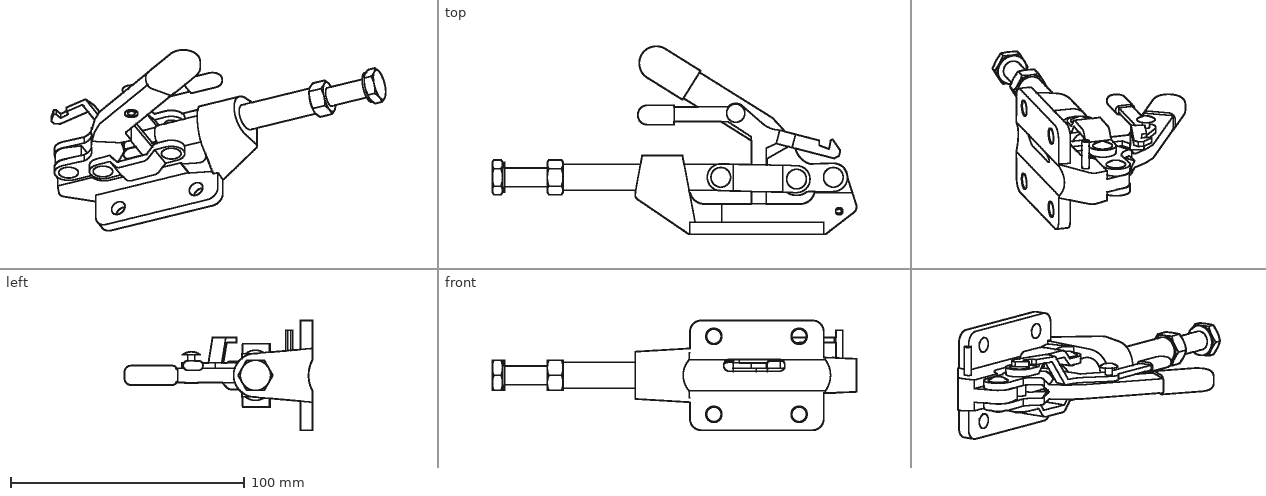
import cadquery as cq
import math

OVERALL_LENGTH = 156.2
REACH = 93.7

AXIS_Y = 24.5
PLUNGER_PIVOT = (98.0, AXIS_Y)
LINK_PIVOT = (130.5, 23.7)
BASE_PIVOT = (146.2, AXIS_Y)
LATCH_PIVOT = (104.3, 52.0)

RIVET_RADIUS = 2.8
DOME_RADIUS = 4.2
DOME_HEIGHT = 1.5

FLANGE_LEFT = 84.7
FLANGE_LENGTH = 57.5
FLANGE_WIDTH = 47.2
FLANGE_THICKNESS = 5.3
FLANGE_CORNER = 5.0
HOLE_DIAMETER = 6.2
HOLE_CHAMFER = 0.3
HOLE_CHAMFER_ANGLE = 90
HOLE_CENTER_X = 113.3
HOLE_PITCH_X = 36.5
HOLE_PITCH_Z = 33.5
GROOVE_HALF_WIDTH = 6.7
GROOVE_DEPTH = 1.7
BOSS_RADIUS = 9.4
BOSS_FOOT_HALF_WIDTH = 11.5
BOSS_NOSE = (61.0, 16.0)
BOSS_NOSE_RADIUS = 2.5
BOSS_TOP_LEFT_X = 64.2
BOSS_TOP_RIGHT_X = 81.5
BOSS_FOOT_LEFT_X = 84.4
BOSS_FOOT_RADIUS = 1.0
BOSS_FOOT_RIGHT_X = 88.0
RAIL_HEIGHT = 13.1
RAIL_FOOT_HALF_WIDTH = 7.7
RAIL_DRAFT = 0.05
RAIL_FILLET = 6.2
FLARE_HALF_WIDTH = 9.7
FLARE_END_X = 98.4
WINDOW_LEFT_X = 84.7
WINDOW_RIGHT_X = 138.2
STEP_Y = 17.8
LUG_RADIUS = 5.8
FOOT_RIGHT_X = 142.8
HEEL_RADIUS = 3.1
HEEL_Y = 11.9
LATCH_SLOT_LEFT = 99.2
LATCH_SLOT_RIGHT = 125.5
LATCH_SLOT_WIDTH = 5.0
STOP_PIN = (148.7, 10.0)
STOP_PIN_RADIUS = 1.5
STOP_PIN_BORE_RADIUS = 1.0
STOP_PIN_SLIT = 1.2
STOP_PIN_TOP = 19.4

PLUNGER_RADIUS = 5.6
PLUNGER_RIGHT_X = 103.3
HEX_FLATS = 13.0
HEX_CHAMFER = 0.6
HEAD_LENGTH = 4.4
HEAD_COLLAR_END_X = 5.3
SHANK_RADIUS = 4.0
NUT_LEFT_X = 23.6
NUT_RIGHT_X = 30.3

PLATE = 3.1
FORK_HALF_GAP = 3.0
FORK_OUTER = FORK_HALF_GAP + PLATE
FOLD_POINT = (122.2, 35.0)
FOLD_ANGLE = 29.5
FOLD_RUN = 3.1
FOLD_BEND_RADIUS = 2.8
ARM_ANGLE = -32.0
ARM_HALF_WIDTH = 6.5
GRIP_CENTER = (70.3, 73.4)
GRIP_RADIUS = 7.3
GRIP_LENGTH = 17.8
GRIP_THICKNESS = 8.5
GRIP_FILLET = 3.0
KNEE_TOP = 54.7
SHOULDER = (124.8, 45.0)
NECK_TOP = (130.0, 37.0)
NECK_MIDDLE = (132.3, 32.6)
NECK_FOOT = (136.2, 30.3)
THROAT_X = 113.1
THROAT_BOTTOM_Y = 32.5
THROAT_RADIUS = 1.9
FORK_LEFT = (117.8, 29.7)
FORK_END_RADIUS = 6.1
FORK_HALF_WIDTH = 5.5
LINK_EYE_RADIUS = 7.0

LINK_PLATE = 3.1
LINK_END_RADIUS = 5.8
LINK_INNER = FORK_OUTER
LINK_OUTER = LINK_INNER + LINK_PLATE
LINK_BULGE = 4.4
LINK_BEND_RADIUS = 3.1
LINK_RISE = (103.3, 107.2)
LINK_FALL = (121.0, 124.5)

LATCH_PLATE = 2.2
LATCH_BOTTOM = PLATE
LATCH_TOP = LATCH_BOTTOM + LATCH_PLATE
LATCH_MID = (LATCH_BOTTOM + LATCH_TOP) / 2
LEVER_Y = 51.5
LEVER_HALF_WIDTH = 3.1
LATCH_EYE_RADIUS = 4.2
LEVER_GRIP_Y = 51.2
LEVER_GRIP_LEFT = 62.3
LEVER_GRIP_RIGHT = 78.0
LEVER_GRIP_RADIUS = 4.2
LEVER_GRIP_THICKNESS = 4.0
LEVER_GRIP_FILLET = 1.9
TAIL_LEFT = 111.0
TAIL_RIGHT = 117.5
TAIL_BOTTOM_Y = 4.7
TAIL_CORNER = 1.9
LEVER_BEND_X = 100.9
LEVER_HEEL_X = 102.3
TAIL_TOP_LEFT_Y = 41.9
TAIL_TOP_RIGHT_Y = 37.0
BACK_START = (115.6, 47.8)
BACK_MIDDLE = (119.0, 45.6)
BACK_ANGLE = 50
HOOK_ROOT = (122.5, 41.9)
HOOK_ANGLE = -14.5
HOOK_HALF_WIDTH = 3.0
HOOK_OPENING = [
    (25.6, -HOOK_HALF_WIDTH), (27.5, -1.2), (27.3, 1.1), (23.0, 4.8), (22.2, 4.2),
    (22.5, 0.5), (18.1, 1.0), (17.5, HOOK_HALF_WIDTH),
]
HOOK_RAMP_RUN = 7.0
HOOK_RAMP_UNDERSIDE = 1.7
HOOK_RISE = 11.0
KNOB_RADIUS = 3.9
KNOB_HEIGHT = 1.4
KNOB_BOTTOM = 8.7
KNOB_STEM_RADIUS = 1.5
LATCH_RIVET_HEAD_RADIUS = 2.8
LATCH_RIVET_HEAD = 0.3


def polar(angle):
    """Unit vector at an angle in degrees."""
    return math.cos(math.radians(angle)), math.sin(math.radians(angle))


def frame_point(origin, angle, along, across):
    """XY point given by distances along and across a direction through an origin."""
    c, s = polar(angle)
    return origin[0] + along * c - across * s, origin[1] + along * s + across * c


def hull_plate(rounds, z_low, z_high):
    """Plate around circles (center, radius) listed counterclockwise; zero radius is a sharp corner."""
    sides = []
    for (start, r_start), (end, r_end) in zip(rounds, rounds[1:] + rounds[:1]):
        dx, dy = end[0] - start[0], end[1] - start[1]
        normal = math.atan2(dy, dx) - math.acos((r_start - r_end) / math.hypot(dx, dy))
        sides.append((start, r_start, end, r_end, normal))

    def rim(center, radius, angle):
        return center[0] + radius * math.cos(angle), center[1] + radius * math.sin(angle)

    start, r_start, _, _, normal = sides[0]
    outline = cq.Workplane("XY", origin=(0, 0, z_low)).moveTo(*rim(start, r_start, normal))
    for index, (_, _, end, r_end, normal) in enumerate(sides):
        next_normal = sides[(index + 1) % len(sides)][4]
        sweep = (next_normal - normal) % (2 * math.pi)
        outline = outline.lineTo(*rim(end, r_end, normal))
        if r_end > 0:
            outline = outline.threePointArc(
                rim(end, r_end, normal + sweep / 2), rim(end, r_end, next_normal))
    return outline.close().extrude(z_high - z_low)


def cylinder(center, radius, z_low, z_high):
    return cq.Workplane("XY", origin=(*center, z_low)).circle(radius).extrude(z_high - z_low)


def block(x_range, y_range, z_range):
    lows, highs = zip(x_range, y_range, z_range)
    size = [high - low for low, high in zip(lows, highs)]
    return cq.Workplane("XY").box(*size, centered=False).translate(lows)


def dome(center, radius, height, z):
    """Spherical cap standing on height z."""
    x, y = center
    cap = (
        cq.Workplane("XZ")
        .lineTo(radius, 0)
        .threePointArc(cap_middle(radius, height), (0, height))
        .close()
        .revolve(360, (0, 0), (0, 1))
    )
    return cap.translate((x, y, z))


def cap_middle(radius, height):
    """Point halfway along the profile arc of a spherical cap."""
    sphere = (radius ** 2 + height ** 2) / (2 * height)
    half_angle = math.asin(radius / sphere) / 2
    return sphere * math.sin(half_angle), height - sphere * (1 - math.cos(half_angle))


def rivet(center, face):
    """Rivet across the clamp with a domed head on each outer face at +-face."""
    head = dome(center, DOME_RADIUS, DOME_HEIGHT, face)
    return cylinder(center, RIVET_RADIUS, -face, face).union(head).union(head.mirror("XY"))


def boss_section():
    """Cross-section of the boss: round top with flanks spreading to the foot, along all of X."""
    reach = math.hypot(BOSS_FOOT_HALF_WIDTH, AXIS_Y)
    flank = math.atan2(-AXIS_Y, BOSS_FOOT_HALF_WIDTH) + math.acos(BOSS_RADIUS / reach)
    z = BOSS_RADIUS * math.cos(flank)
    y = AXIS_Y + BOSS_RADIUS * math.sin(flank)
    return (
        cq.Workplane("YZ")
        .moveTo(0, -BOSS_FOOT_HALF_WIDTH)
        .lineTo(y, -z)
        .threePointArc((AXIS_Y + BOSS_RADIUS, 0), (y, z))
        .lineTo(0, BOSS_FOOT_HALF_WIDTH)
        .close()
        .extrude(OVERALL_LENGTH)
    )


def boss():
    top = AXIS_Y + BOSS_RADIUS
    side = (
        cq.Workplane("XY", origin=(0, 0, -REACH))
        .polyline([
            (BOSS_TOP_LEFT_X, top), BOSS_NOSE, (BOSS_FOOT_LEFT_X, 0),
            (BOSS_FOOT_RIGHT_X, 0), (BOSS_TOP_RIGHT_X, top),
        ])
        .close()
        .extrude(2 * REACH)
        .edges(cq.selectors.NearestToPointSelector((*BOSS_NOSE, 0)))
        .fillet(BOSS_NOSE_RADIUS)
        .edges(cq.selectors.NearestToPointSelector((BOSS_FOOT_LEFT_X, 0, 0)))
        .fillet(BOSS_FOOT_RADIUS)
    )
    return side.intersect(boss_section())


def rail():
    """Long rail ending in a wedge, with the thin pivot lug standing on the wedge."""
    heel = (OVERALL_LENGTH - HEEL_RADIUS, HEEL_Y)
    rail_left = BOSS_FOOT_LEFT_X
    side = hull_plate(
        [((rail_left, 0), 0), ((FOOT_RIGHT_X, 0), 0), (heel, HEEL_RADIUS),
         (BASE_PIVOT, LUG_RADIUS), ((rail_left, STEP_Y), 0)], -REACH, REACH)
    window = (
        block((WINDOW_LEFT_X, WINDOW_RIGHT_X), (RAIL_HEIGHT, REACH), (-REACH, REACH))
        .edges("|Z and <Y")
        .fillet(RAIL_FILLET)
    )
    tip = RAIL_FOOT_HALF_WIDTH - RAIL_DRAFT * STEP_Y
    foot = RAIL_FOOT_HALF_WIDTH
    wide = (
        cq.Workplane("YZ")
        .polyline([(0, -foot), (STEP_Y, -tip), (STEP_Y, tip), (0, foot)])
        .close()
        .extrude(2 * REACH)
    )
    thin = block((0, 2 * REACH), (0, REACH), (-FORK_HALF_GAP, FORK_HALF_GAP))
    return side.cut(window).intersect(wide.union(thin).union(flare()))


def flare():
    """Foot that blends the width of the boss into the rail."""
    wide, narrow = FLARE_HALF_WIDTH, RAIL_FOOT_HALF_WIDTH
    return (
        cq.Workplane("XZ")
        .polyline([
            (BOSS_FOOT_LEFT_X, -wide), (BOSS_FOOT_RIGHT_X, -wide), (FLARE_END_X, -narrow),
            (FLARE_END_X, narrow), (BOSS_FOOT_RIGHT_X, wide), (BOSS_FOOT_LEFT_X, wide),
        ])
        .close()
        .extrude(-STEP_Y)
    )


def flange():
    right = FLANGE_LEFT + FLANGE_LENGTH
    half = FLANGE_WIDTH / 2
    plate = block((FLANGE_LEFT, right), (0, FLANGE_THICKNESS), (-half, half))
    return (
        plate.edges("|Y")
        .fillet(FLANGE_CORNER)
        .faces("<Y")
        .workplane(origin=(HOLE_CENTER_X, 0, 0))
        .rarray(HOLE_PITCH_X, HOLE_PITCH_Z, 2, 2)
        .cskHole(HOLE_DIAMETER, HOLE_DIAMETER + 2 * HOLE_CHAMFER, HOLE_CHAMFER_ANGLE)
    )


def groove():
    """Hollow running along the mounting face."""
    radius = (GROOVE_HALF_WIDTH ** 2 + GROOVE_DEPTH ** 2) / (2 * GROOVE_DEPTH)
    return (
        cq.Workplane("YZ", origin=(0, GROOVE_DEPTH - radius, 0))
        .circle(radius)
        .extrude(OVERALL_LENGTH)
    )


def latch_slot():
    middle = (LATCH_SLOT_LEFT + LATCH_SLOT_RIGHT) / 2
    return (
        cq.Workplane("XZ", origin=(middle, 0, LATCH_MID))
        .slot2D(LATCH_SLOT_RIGHT - LATCH_SLOT_LEFT, LATCH_SLOT_WIDTH)
        .extrude(-RAIL_HEIGHT)
    )


def stop_pin():
    """Slit spring pin standing on the flank of the rail end."""
    x, y = STOP_PIN
    slit = block(
        (x - STOP_PIN_RADIUS, x), (y - STOP_PIN_SLIT / 2, y + STOP_PIN_SLIT / 2),
        (RAIL_FOOT_HALF_WIDTH, STOP_PIN_TOP))
    bore = cylinder(STOP_PIN, STOP_PIN_BORE_RADIUS, RAIL_FOOT_HALF_WIDTH, STOP_PIN_TOP)
    return cylinder(STOP_PIN, STOP_PIN_RADIUS, 0, STOP_PIN_TOP).cut(bore).cut(slit)


def make_base():
    bore = cq.Workplane("YZ", origin=(0, AXIS_Y, 0)).circle(PLUNGER_RADIUS).extrude(FLARE_END_X)
    body = boss().union(rail()).union(flange())
    body = body.cut(groove()).cut(latch_slot()).cut(bore)
    return body.union(rivet(BASE_PIVOT, FORK_OUTER)).union(stop_pin())


def x_rod(radius, x_left, x_right):
    return cq.Workplane("YZ", origin=(x_left, AXIS_Y, 0)).circle(radius).extrude(x_right - x_left)


def make_plunger():
    rod = x_rod(PLUNGER_RADIUS, NUT_RIGHT_X, PLUNGER_RIGHT_X)
    return rod.cut(cylinder(PLUNGER_PIVOT, RIVET_RADIUS, -PLUNGER_RADIUS, PLUNGER_RADIUS))


def hexagon(x_left, x_right):
    """Hexagon bar along X with both ends turned to a shallow cone."""
    corners = HEX_FLATS / math.cos(math.pi / 6)
    length = x_right - x_left
    bar = cq.Workplane("YZ", origin=(x_left, AXIS_Y, 0)).polygon(6, corners).extrude(length)
    turned = (
        x_rod(corners / 2, x_left, x_right)
        .faces("<X or >X")
        .chamfer(HEX_CHAMFER, (corners - HEX_FLATS) / 2)
    )
    return bar.intersect(turned)


def make_spindle():
    shank = x_rod(SHANK_RADIUS, 0, NUT_RIGHT_X)
    collar = x_rod(HEX_FLATS / 2, 0, HEAD_COLLAR_END_X)
    return shank.union(collar).union(hexagon(0, HEAD_LENGTH)).union(hexagon(NUT_LEFT_X, NUT_RIGHT_X))


def fork_blank():
    """Pair of plates that spread apart across the fold line, larger than the handle outline."""
    fold_x, fold_y = polar(FOLD_ANGLE)
    section = cq.Plane(
        origin=(*FOLD_POINT, 0), xDir=(fold_y, -fold_x, 0), normal=(-fold_x, -fold_y, 0))
    half = (
        cq.Workplane(section)
        .polyline([
            (-REACH, 0), (0, 0), (FOLD_RUN, FORK_HALF_GAP), (REACH, FORK_HALF_GAP),
            (REACH, FORK_OUTER), (FOLD_RUN, FORK_OUTER), (0, PLATE), (-REACH, PLATE),
        ])
        .close()
        .extrude(REACH, both=True)
    )
    bend = frame_point(FOLD_POINT, FOLD_ANGLE, 0, -FOLD_RUN)
    half = half.edges(cq.selectors.NearestToPointSelector((*bend, FORK_OUTER))).fillet(FOLD_BEND_RADIUS)
    return half.union(half.mirror("XY"))


def arm_point(along, across):
    return frame_point(GRIP_CENTER, ARM_ANGLE, along, across)


def arm_edge_at_x(x):
    """Point of the lower arm edge at a given X."""
    c, s = polar(ARM_ANGLE)
    return x, GRIP_CENTER[1] + ((x - GRIP_CENTER[0]) * s - ARM_HALF_WIDTH) / c


def handle_outline():
    throat = arm_edge_at_x(THROAT_X)
    lever = (
        cq.Workplane("XY", origin=(0, 0, -REACH))
        .moveTo(*arm_point(0, -ARM_HALF_WIDTH))
        .lineTo(*throat)
        .lineTo(THROAT_X, THROAT_BOTTOM_Y)
        .lineTo(FORK_LEFT[0], THROAT_BOTTOM_Y)
        .lineTo(*FORK_LEFT)
        .lineTo(*LINK_PIVOT)
        .lineTo(NECK_FOOT[0], LINK_PIVOT[1])
        .lineTo(*NECK_FOOT)
        .threePointArc(NECK_MIDDLE, NECK_TOP)
        .lineTo(*SHOULDER)
        .lineTo(*arm_point(KNEE_TOP, ARM_HALF_WIDTH))
        .lineTo(*arm_point(0, ARM_HALF_WIDTH))
        .close()
        .extrude(2 * REACH)
        .edges(cq.selectors.NearestToPointSelector((*throat, 0)))
        .fillet(THROAT_RADIUS)
    )
    fork = hull_plate(
        [(LINK_PIVOT, FORK_HALF_WIDTH), (BASE_PIVOT, FORK_END_RADIUS), (FORK_LEFT, 0)], -REACH, REACH)
    return lever.union(fork).union(cylinder(LINK_PIVOT, LINK_EYE_RADIUS, -REACH, REACH))


def grip():
    """Rounded sleeve on the end of the arm."""
    open_end = cq.Vector(*arm_point(GRIP_LENGTH, 0))
    square = arm_point(GRIP_LENGTH, -GRIP_RADIUS), arm_point(GRIP_LENGTH, GRIP_RADIUS)
    half = GRIP_THICKNESS / 2
    sleeve = hull_plate([(GRIP_CENTER, GRIP_RADIUS), (square[0], 0), (square[1], 0)], -half, half)
    return (
        sleeve.faces("<Z or >Z").edges()
        .filter(lambda edge: (edge.Center() - open_end).Length > GRIP_RADIUS)
        .fillet(GRIP_FILLET)
    )


def make_handle():
    handle = fork_blank().intersect(handle_outline()).union(grip())
    for center in (LINK_PIVOT, BASE_PIVOT):
        handle = handle.cut(cylinder(center, RIVET_RADIUS, -FORK_OUTER, FORK_OUTER))
    return handle.cut(cylinder(LATCH_PIVOT, KNOB_STEM_RADIUS, -PLATE, PLATE))


def link_strap():
    """Upper strap, bulging outward between its two flat ends."""
    rise_start, rise_end = LINK_RISE
    fall_start, fall_end = LINK_FALL
    lower = [(0, 0), (rise_start, 0), (rise_end, LINK_BULGE), (fall_start, LINK_BULGE),
             (fall_end, 0), (OVERALL_LENGTH, 0)]
    upper = [(x, z + LINK_PLATE) for x, z in reversed(lower)]
    plan = hull_plate(
        [(PLUNGER_PIVOT, LINK_END_RADIUS), (LINK_PIVOT, LINK_END_RADIUS)], 0, REACH)
    strip = (
        cq.Workplane("XZ", origin=(0, 0, LINK_INNER))
        .polyline(lower + upper)
        .close()
        .extrude(REACH, both=True)
    )
    bulge_top = LINK_INNER + LINK_BULGE + LINK_PLATE
    for x in (rise_end, fall_start):
        bend = cq.selectors.NearestToPointSelector((x, 0, bulge_top))
        strip = strip.edges(bend).fillet(LINK_BEND_RADIUS)
    return strip.intersect(plan)


def make_link():
    strap = link_strap()
    link = rivet(PLUNGER_PIVOT, LINK_OUTER).union(rivet(LINK_PIVOT, LINK_OUTER))
    return link.union(strap).union(strap.mirror("XY"))


def latch_plate():
    """Flat plate with the lever to the left and the locking tail pointing into the base."""
    lever_left = (LEVER_GRIP_LEFT + LEVER_GRIP_RIGHT) / 2
    root_low = frame_point(HOOK_ROOT, HOOK_ANGLE, 0, -HOOK_HALF_WIDTH)
    root_high = frame_point(HOOK_ROOT, HOOK_ANGLE, 0, HOOK_HALF_WIDTH)
    plate = (
        cq.Workplane("XY", origin=(0, 0, LATCH_BOTTOM))
        .moveTo(lever_left, LEVER_Y - LEVER_HALF_WIDTH)
        .lineTo(LEVER_BEND_X, LEVER_Y - LEVER_HALF_WIDTH)
        .lineTo(TAIL_LEFT, TAIL_TOP_LEFT_Y)
        .lineTo(TAIL_LEFT, TAIL_BOTTOM_Y)
        .lineTo(TAIL_RIGHT, TAIL_BOTTOM_Y)
        .lineTo(TAIL_RIGHT, TAIL_TOP_RIGHT_Y)
        .lineTo(*root_low)
        .lineTo(*root_high)
        .threePointArc(BACK_MIDDLE, BACK_START)
        .lineTo(*frame_point(LATCH_PIVOT, BACK_ANGLE, LATCH_EYE_RADIUS, 0))
        .lineTo(LEVER_HEEL_X, LEVER_Y + LEVER_HALF_WIDTH)
        .lineTo(lever_left, LEVER_Y + LEVER_HALF_WIDTH)
        .close()
        .extrude(LATCH_PLATE)
    )
    corner = cq.selectors.NearestToPointSelector((TAIL_LEFT, TAIL_BOTTOM_Y, LATCH_MID))
    return plate.edges(corner).fillet(TAIL_CORNER).union(
        cylinder(LATCH_PIVOT, LATCH_EYE_RADIUS, LATCH_BOTTOM, LATCH_TOP))


def hook():
    """Arm that climbs from the plate and ends in an open hook."""
    along = polar(HOOK_ANGLE)
    flat = cq.Plane(origin=(*HOOK_ROOT, 0), xDir=(*along, 0), normal=(0, 0, 1))
    half = HOOK_HALF_WIDTH
    outline = (
        cq.Workplane(flat)
        .polyline([(0, -half), *HOOK_OPENING, (0, half)])
        .close()
        .extrude(REACH)
    )
    side = cq.Plane(
        origin=(*HOOK_ROOT, LATCH_BOTTOM), xDir=(*along, 0), normal=(along[1], -along[0], 0))
    setback = HOOK_RAMP_UNDERSIDE
    strip = (
        cq.Workplane(side)
        .polyline([
            (0, 0), (setback, 0), (HOOK_RAMP_RUN + setback, HOOK_RISE), (REACH, HOOK_RISE),
            (REACH, HOOK_RISE + LATCH_PLATE), (HOOK_RAMP_RUN, HOOK_RISE + LATCH_PLATE),
            (0, LATCH_PLATE),
        ])
        .close()
        .extrude(REACH, both=True)
    )
    return strip.intersect(outline)


def lever_grip():
    left = LEVER_GRIP_LEFT + LEVER_GRIP_RADIUS
    middle = LEVER_GRIP_Y
    half = LEVER_GRIP_THICKNESS / 2
    low, high = middle - LEVER_GRIP_RADIUS, middle + LEVER_GRIP_RADIUS
    sleeve = hull_plate(
        [((left, middle), LEVER_GRIP_RADIUS), ((LEVER_GRIP_RIGHT, low), 0),
         ((LEVER_GRIP_RIGHT, high), 0)], LATCH_MID - half, LATCH_MID + half)
    return sleeve.faces("<Z or >Z").edges("not >X").fillet(LEVER_GRIP_FILLET)


def make_latch():
    latch = latch_plate().union(hook()).union(lever_grip())
    latch = latch.union(cylinder(LATCH_PIVOT, KNOB_STEM_RADIUS, -PLATE, KNOB_BOTTOM))
    latch = latch.union(dome(LATCH_PIVOT, KNOB_RADIUS, KNOB_HEIGHT, KNOB_BOTTOM))
    head_bottom = -PLATE - LATCH_RIVET_HEAD
    return latch.union(cylinder(LATCH_PIVOT, LATCH_RIVET_HEAD_RADIUS, head_bottom, -PLATE))


base = make_base()
plunger = make_plunger()
spindle = make_spindle()
handle = make_handle()
link = make_link()
latch = make_latch()

bodies = [base, plunger, spindle, handle, link, latch]
result = cq.Compound.makeCompound([body.solids().val() for body in bodies])